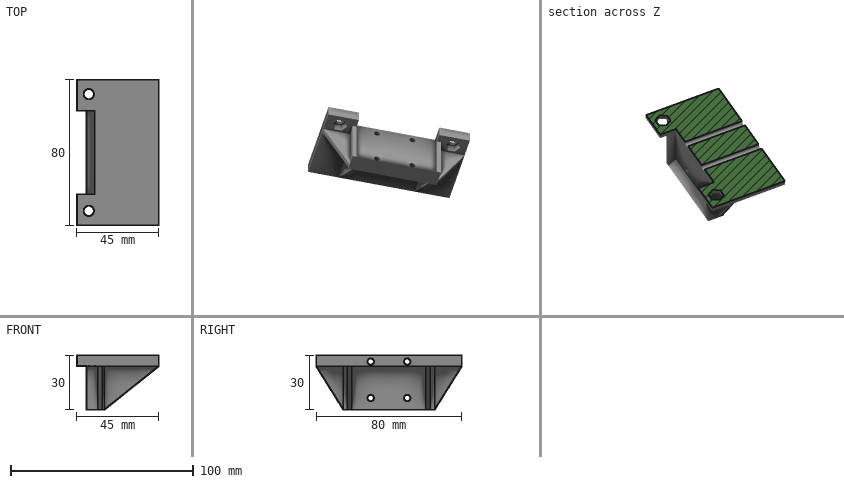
import cadquery as cq
import math

length_x = 45.0
width_y = 80.0
height = 30.0
plate_thickness = 6.0
plate_bottom = height - plate_thickness

block_front = 5.1
block_back = 15.0
block_width = 50.0

recess_width = 45.5
recess_floor_x = 9.7
sill_rise = 2.9

wing_front = 11.4
wing_thickness = 2.5
rib_thickness = 2.5

plate_hole_diameter = 5.5
plate_hole_x = 6.5
plate_hole_spacing = 64.0
nut_width_across_flats = 7.0
nut_pocket_depth = 4.0
wall_hole_diameter = 3.4
wall_hole_spacing = 20.0
wall_hole_top_offset = 3.5
wall_hole_center_z = height - wall_hole_top_offset - wall_hole_spacing / 2


def box_between(x_min, x_max, y_width, z_min, z_max):
    """Box centred on y with the given x and z limits."""
    return cq.Workplane("XY").box(
        x_max - x_min, y_width, z_max - z_min, centered=(False, True, False)
    ).translate((x_min, 0, z_min))


def side_wings():
    """Both wings as one trapezoid, running through the block."""
    return (
        cq.Workplane("YZ", origin=(wing_front, 0, 0))
        .polyline([
            (-block_width / 2, 0),
            (block_width / 2, 0),
            (width_y / 2, plate_bottom),
            (-width_y / 2, plate_bottom),
        ])
        .close()
        .extrude(wing_thickness)
    )


def rear_rib(y_center):
    """Triangular rib from the back of the block to the far plate edge."""
    return (
        cq.Workplane("XZ", origin=(0, y_center + rib_thickness / 2, 0))
        .polyline([
            (block_back, 0),
            (length_x, plate_bottom),
            (block_back, plate_bottom),
        ])
        .close()
        .extrude(rib_thickness)
    )


def recess():
    """Full-height pocket whose lower end slopes out to the block's front edge."""
    return (
        cq.Workplane("XZ", origin=(0, recess_width / 2, 0))
        .polyline([
            (0, 0),
            (block_front, 0),
            (recess_floor_x, sill_rise),
            (recess_floor_x, height),
            (0, height),
        ])
        .close()
        .extrude(recess_width)
    )


plate = box_between(0, length_x, width_y, plate_bottom, height)
block = box_between(block_front, block_back, block_width, 0, plate_bottom)
body = plate.union(block).union(side_wings())

rib_offset = (recess_width - rib_thickness) / 2
for side in (-1, 1):
    body = body.union(rear_rib(side * rib_offset))

body = body.cut(recess())

plate_holes = (
    cq.Workplane("XY", origin=(plate_hole_x, 0, plate_bottom))
    .rarray(0.8, plate_hole_spacing, 1, 2)
    .circle(plate_hole_diameter / 2)
    .extrude(plate_thickness)
)
nut_width_across_corners = nut_width_across_flats / math.cos(math.pi / 6)
nut_pockets = (
    cq.Workplane("XY", origin=(plate_hole_x, 0, plate_bottom))
    .transformed(rotate=(0, 0, 90))
    .rarray(plate_hole_spacing, 0.8, 2, 1)
    .polygon(6, nut_width_across_corners)
    .extrude(nut_pocket_depth)
)
wall_holes = (
    cq.Workplane("YZ", origin=(recess_floor_x, 0, wall_hole_center_z))
    .rarray(wall_hole_spacing, wall_hole_spacing, 2, 2)
    .circle(wall_hole_diameter / 2)
    .extrude(length_x - recess_floor_x)
)
result = body.cut(plate_holes).cut(nut_pockets).cut(wall_holes)